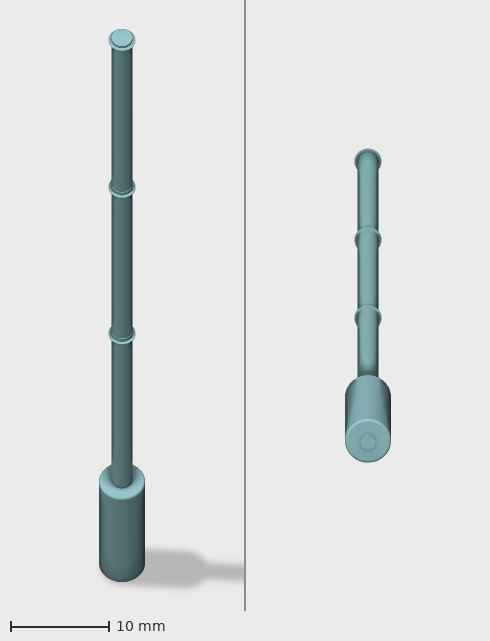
import cadquery as cq

total_length = 91.8

barrel_radius = 2.34
barrel_length = 14.7
barrel_rim_fillet = 0.3

rod_radius = 1.06
tail_radius = 0.7
tail_overhang = 0.3

cap_height = 0.5

collar_count = 2
collar_radius = 1.1
collar_height = 1.1

lip_radius = 1.4
lip_thickness = 0.1

barrel_top = tail_overhang + barrel_length
rod_top = total_length - cap_height
collar_spacing = (rod_top - barrel_top) / (collar_count + 1)


def cylinder(radius, bottom, height):
    """Upright cylinder on the Z axis."""
    return cq.Workplane("XY").workplane(offset=bottom).circle(radius).extrude(height)


def make_barrel():
    """Bored cylinder with rounded outer rims."""
    body = cylinder(barrel_radius, tail_overhang, barrel_length)
    body = body.faces("<Z or >Z").edges().fillet(barrel_rim_fillet)
    return body.cut(cylinder(tail_radius, tail_overhang, barrel_length))


def make_rod():
    """Long rod whose tail fills the barrel's bore and stands proud below it."""
    tail = cylinder(tail_radius, 0, barrel_top)
    return tail.union(cylinder(rod_radius, barrel_top, rod_top - barrel_top))


def make_collar(middle):
    """Ring around the rod with a thin lip at mid-height."""
    bottom = middle - collar_height / 2
    sleeve = cylinder(collar_radius, bottom, collar_height)
    lip = cylinder(lip_radius, middle - lip_thickness / 2, lip_thickness)
    return sleeve.union(lip).cut(cylinder(rod_radius, bottom, collar_height))


def make_cap():
    """Button on top of the rod with a thin lip at its foot."""
    button = cylinder(rod_radius, rod_top, cap_height)
    return button.union(cylinder(lip_radius, rod_top, lip_thickness))


barrel = make_barrel()
rod = make_rod()
collars = [
    make_collar(barrel_top + number * collar_spacing)
    for number in range(1, collar_count + 1)
]
cap = make_cap()

result = cq.Compound.makeCompound([
    barrel.val(),
    rod.val(),
    *[collar.val() for collar in collars],
    cap.val(),
])